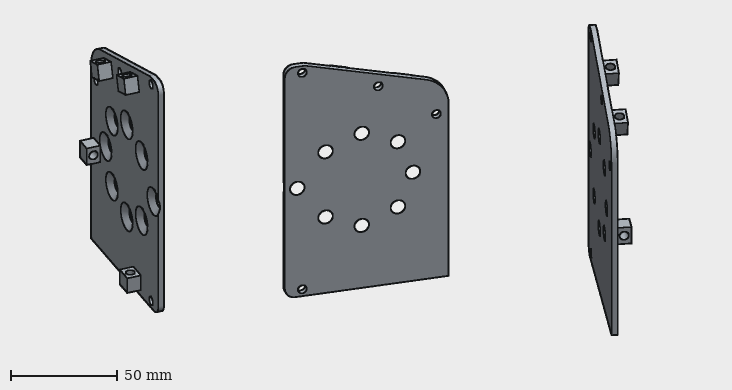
import cadquery as cq
import math

plate_width = 80.0
plate_height = 125.0
plate_thickness = 3.0
right_corner_radius = 5.0
left_corner_radius = 15.0
left_edge_height = 105.1
slope_end_x = 70.2
slope_angle = math.degrees(math.atan2(plate_height - left_edge_height, slope_end_x))

mount_hole_diameter = 4.2
corner_hole_x = 71.5
corner_hole_inset = 3.8
mount_hole_centers = [
    (corner_hole_x, corner_hole_inset),
    (corner_hole_x, plate_height - corner_hole_inset),
    (34.4, 108.2),
    (6.0, 88.8),
]

ring_center_x = 42.5
ring_center_z = 59.0
ring_radius = 25.0
ring_hole_count = 8
ring_right_shift = 6.5
sink_front_diameter = 14.0
sink_back_diameter = 7.0

block_length = 9.0
block_depth = 8.0
block_height = 7.0
block_hole_diameter = 4.4
block_placements = [
    (20.8, 103.4, slope_angle),
    (52.1, 112.4, slope_angle),
    (7.2, 51.8, 90.0),
    (55.0, 7.2, 0.0),
]


def make_plate():
    plate = (
        cq.Workplane("XZ")
        .moveTo(0, 0)
        .lineTo(plate_width, 0)
        .lineTo(plate_width, plate_height)
        .lineTo(slope_end_x, plate_height)
        .lineTo(0, left_edge_height)
        .close()
        .extrude(-plate_thickness)
    )
    plate = plate.edges("|Y and >X").fillet(right_corner_radius)
    upper_left = cq.selectors.NearestToPointSelector((0, plate_thickness / 2, left_edge_height))
    return plate.edges(upper_left).fillet(left_corner_radius)


def make_mount_holes():
    return (
        cq.Workplane("XZ")
        .pushPoints(mount_hole_centers)
        .circle(mount_hole_diameter / 2)
        .extrude(-plate_thickness)
    )


def ring_hole_centers():
    centers = []
    for index in range(ring_hole_count):
        angle = 2 * math.pi * index / ring_hole_count
        shift = ring_right_shift if index == 0 else 0
        x = ring_center_x + ring_radius * math.cos(angle) + shift
        z = ring_center_z + ring_radius * math.sin(angle)
        centers.append((x, z))
    return centers


def make_countersink(x, z):
    """Cone through the whole plate, widest at the front face."""
    cone = cq.Solid.makeCone(
        sink_front_diameter / 2,
        sink_back_diameter / 2,
        plate_thickness,
        pnt=cq.Vector(x, 0, z),
        dir=cq.Vector(0, 1, 0),
    )
    return cq.Workplane(obj=cone)


def make_block(x, z, rotation):
    """Block with a through hole parallel to the plate."""
    block = cq.Workplane("XY").box(block_length, block_height, block_depth)
    block = block.faces(">Z").workplane().hole(block_hole_diameter)
    block = block.rotate((0, 0, 0), (0, -1, 0), rotation)
    return block.translate((x, -block_height / 2, z))


result = make_plate().cut(make_mount_holes())
for hole_x, hole_z in ring_hole_centers():
    result = result.cut(make_countersink(hole_x, hole_z))
for block_x, block_z, block_rotation in block_placements:
    result = result.union(make_block(block_x, block_z, block_rotation))